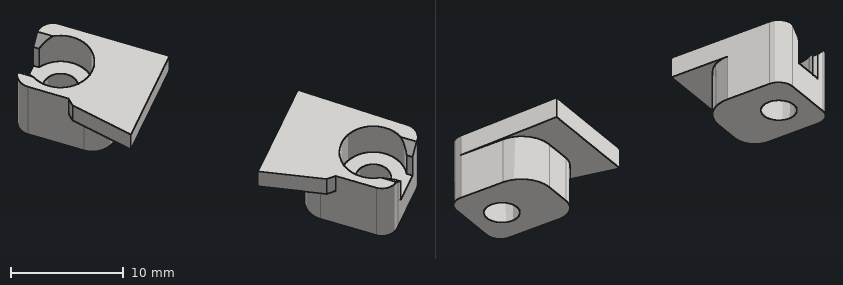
import cadquery as cq

overall_length = 36.0
height = 6.62
plate_thickness = 2.1

boss_length = 8.95
boss_back = 4.03
boss_front = -3.75
outer_corner_radius = 1.48
inner_front_radius = 2.2
inner_back_radius = 3.0

plate_length = 12.0
front_step_start = 5.33
front_step = 0.6
plate_front_tip = -5.7
right_plate_rise = 0.35

screw_inset = 3.15
screw_hole_diameter = 3.2
seat_diameter = 6.0
seat_depth = 3.6
slot_width = 3.0
slot_chamfer = 1.0

boss_width = boss_back - boss_front
boss_center_y = (boss_back + boss_front) / 2
seat_floor = height - seat_depth


def make_boss():
    """Block with its outer end on X = 0, reaching toward +X."""
    block = cq.Workplane("XY").box(boss_length, boss_width, height, centered=(False, True, False))
    block = block.edges("|Z and <X").fillet(outer_corner_radius)
    block = block.faces(">X").edges("<Y").fillet(inner_front_radius)
    block = block.faces(">X").edges(">Y").fillet(inner_back_radius)
    return block.translate((0, boss_center_y, 0))


def make_plate(back_rise):
    """Flange with a slanted front edge and a back edge that rises by back_rise."""
    step_y = boss_front - front_step
    return (
        cq.Workplane("XY")
        .workplane(offset=height - plate_thickness)
        .moveTo(outer_corner_radius, boss_back)
        .lineTo(plate_length, boss_back + back_rise)
        .lineTo(plate_length, plate_front_tip)
        .lineTo(front_step_start + front_step, step_y)
        .lineTo(front_step_start, boss_front)
        .lineTo(outer_corner_radius, boss_front)
        .close()
        .extrude(plate_thickness)
    )


def make_screw_cut():
    """Through hole, round seat and chamfered slot, as one cutting shape."""
    hole = cq.Workplane("XY").center(screw_inset, 0).circle(screw_hole_diameter / 2).extrude(height)
    seat = (
        cq.Workplane("XY")
        .workplane(offset=seat_floor)
        .center(screw_inset, 0)
        .circle(seat_diameter / 2)
        .extrude(seat_depth)
    )
    half_slot = slot_width / 2
    half_mouth = half_slot + slot_chamfer
    slot = (
        cq.Workplane("YZ")
        .moveTo(-half_slot, seat_floor)
        .lineTo(half_slot, seat_floor)
        .lineTo(half_slot, height - slot_chamfer)
        .lineTo(half_mouth, height)
        .lineTo(-half_mouth, height)
        .lineTo(-half_slot, height - slot_chamfer)
        .close()
        .extrude(screw_inset)
    )
    return hole.union(seat).union(slot)


def make_bracket(back_rise):
    """One bracket with its outer end on X = 0."""
    return make_boss().union(make_plate(back_rise)).cut(make_screw_cut())


left_bracket = make_bracket(0).translate((-overall_length / 2, 0, 0))
right_bracket = make_bracket(right_plate_rise).mirror("YZ").translate((overall_length / 2, 0, 0))

result = cq.Compound.makeCompound([left_bracket.solids().val(), right_bracket.solids().val()])